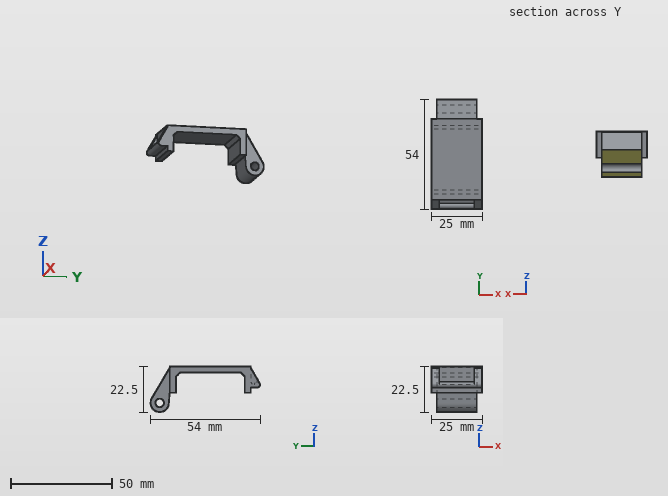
import cadquery as cq
import math

cover_width = 25.0
cover_length = 40.0
cover_height = 13.0
wall = 3.1
inner_chamfer = 1.9

front_y = -cover_length / 2
back_y = cover_length / 2

hinge_width = 19.8
hinge_radius = 4.55
hinge_hole_diameter = 4.1
hinge_offset = 5.0
hinge_drop = 18.0
hinge_top_drop = 0.5

lip_radius = 1.5
latch_reach = 4.5
latch_bottom_drop = 10.5
latch_top_drop = 0.8
cheek_width = 3.95
recess_fillet = 1.2
recess_floor_drop = 8.8


def extrude_across(profile, width):
    """Extrude a profile drawn in the YZ plane symmetrically about X = 0."""
    return profile.extrude(width / 2, both=True)


def tangent_point(start, center, radius, side):
    """Point where a line from start touches a circle; side (+1 or -1) picks which of the two."""
    dy = start[0] - center[0]
    dz = start[1] - center[1]
    angle = math.atan2(dz, dy) + side * math.acos(radius / math.hypot(dy, dz))
    return (center[0] + radius * math.cos(angle), center[1] + radius * math.sin(angle))


def make_cover():
    inner_y = back_y - wall
    body = cq.Workplane("XY").box(cover_width, cover_length, cover_height, centered=(True, True, False))
    body = body.translate((0, 0, -cover_height))
    channel = extrude_across(
        cq.Workplane("YZ")
        .moveTo(-inner_y, -cover_height)
        .lineTo(-inner_y, -wall - inner_chamfer)
        .lineTo(-inner_y + inner_chamfer, -wall)
        .lineTo(inner_y - inner_chamfer, -wall)
        .lineTo(inner_y, -wall - inner_chamfer)
        .lineTo(inner_y, -cover_height)
        .close(),
        cover_width,
    )
    return body.cut(channel)


def make_hinge():
    center = (back_y + hinge_offset, -hinge_drop)
    top = (back_y, -hinge_top_drop)
    bottom = (back_y, -cover_height)
    profile = (
        cq.Workplane("YZ")
        .moveTo(*top)
        .lineTo(*tangent_point(top, center, hinge_radius, -1))
        .threePointArc(
            (center[0], center[1] - hinge_radius),
            tangent_point(bottom, center, hinge_radius, 1),
        )
        .lineTo(*bottom)
        .close()
    )
    hole = cq.Workplane("YZ").center(*center).circle(hinge_hole_diameter / 2)
    return extrude_across(profile, hinge_width).cut(extrude_across(hole, hinge_width))


def make_latch():
    center = (front_y - latch_reach + lip_radius, -latch_bottom_drop + lip_radius)
    top = (front_y, -latch_top_drop)
    latch = extrude_across(
        cq.Workplane("YZ")
        .moveTo(*top)
        .lineTo(*tangent_point(top, center, lip_radius, 1))
        .threePointArc(
            (center[0] - lip_radius, center[1]),
            (center[0], -latch_bottom_drop),
        )
        .lineTo(front_y, -latch_bottom_drop)
        .close(),
        cover_width,
    )
    return latch.cut(make_finger_recess(center))


def make_finger_recess(lip_center):
    """Space between the cheeks, above a flat floor and around the rounded top of the lip."""
    lip_y, lip_z = lip_center
    floor_z = -recess_floor_drop
    recess_width = cover_width - 2 * cheek_width
    space = extrude_across(
        cq.Workplane("YZ")
        .moveTo(front_y, 0)
        .lineTo(front_y, floor_z + recess_fillet)
        .radiusArc((front_y - recess_fillet, floor_z), recess_fillet)
        .lineTo(lip_y, floor_z)
        .lineTo(lip_y, lip_z)
        .lineTo(front_y - latch_reach, lip_z)
        .lineTo(front_y - latch_reach, 0)
        .close(),
        recess_width,
    )
    lip = extrude_across(cq.Workplane("YZ").center(lip_y, lip_z).circle(lip_radius), recess_width)
    return space.cut(lip)


result = make_cover().union(make_hinge()).union(make_latch())